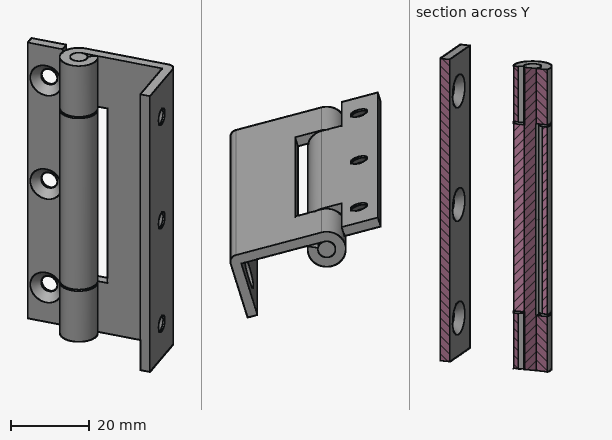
import cadquery as cq
import math

height = 80.0
thickness = 2.6
pin_radius = 2.2
barrel_radius = pin_radius + thickness
seam_angle = 26.0

left_edge = -15.0
right_edge = left_edge + 39.6
front_edge = barrel_radius - 17.5
bend_radius = 2.0

knuckle_length = 49.6
knuckle_gap = 0.5
side_gap = 0.5
slot_clearance = 2.1
window_height = knuckle_length + 2 * knuckle_gap

hole_diameter = 4.4
countersink_diameter = 8.6
countersink_angle = 90.0
hole_pitch = 30.0
flat_hole_inset = 5.0
flange_hole_inset = 8.0
hole_heights = [-hole_pitch, 0, hole_pitch]


def box_between(x_min, x_max, y_min, y_max, z_min, z_max):
    return cq.Workplane("XY").box(
        x_max - x_min, y_max - y_min, z_max - z_min, centered=False
    ).translate((x_min, y_min, z_min))


def rolled_plate(plate_end, length):
    """Plate running in +X to plate_end, with its other end rolled around the pin."""
    def on_circle(radius, degrees):
        angle = math.radians(degrees)
        return radius * math.cos(angle), radius * math.sin(angle)

    return (
        cq.Workplane("XY")
        .workplane(offset=-length / 2)
        .moveTo(plate_end, barrel_radius)
        .lineTo(0, barrel_radius)
        .threePointArc(on_circle(barrel_radius, 225), on_circle(barrel_radius, seam_angle))
        .lineTo(*on_circle(pin_radius, seam_angle))
        .threePointArc(on_circle(pin_radius, 225), (0, pin_radius))
        .lineTo(plate_end, pin_radius)
        .close()
        .extrude(length)
    )


def cut_screw_holes(leaf, face_plane, across):
    """Countersunk through holes entering the face that lies on face_plane."""
    return (
        leaf.copyWorkplane(cq.Workplane(face_plane))
        .pushPoints([(across, z) for z in hole_heights])
        .cskHole(hole_diameter, countersink_diameter, countersink_angle, depth=thickness)
    )


def make_flat_leaf():
    plate_edge = -barrel_radius - side_gap
    leaf = rolled_plate(-left_edge, knuckle_length).mirror("YZ")
    plate = box_between(left_edge, plate_edge, pin_radius, barrel_radius, -height / 2, height / 2)
    leaf = leaf.union(plate)
    front_face = cq.Plane(origin=(0, pin_radius, 0), xDir=(1, 0, 0), normal=(0, -1, 0))
    return cut_screw_holes(leaf, front_face, left_edge + flat_hole_inset)


def make_angled_leaf():
    flange_face_x = right_edge - thickness
    leaf = rolled_plate(right_edge, height)
    flange = box_between(flange_face_x, right_edge, front_edge, barrel_radius, -height / 2, height / 2)
    leaf = leaf.union(flange).edges("|Z and >X and >Y").fillet(bend_radius)
    window = box_between(
        -barrel_radius, barrel_radius + slot_clearance,
        -barrel_radius, barrel_radius,
        -window_height / 2, window_height / 2,
    )
    leaf = leaf.cut(window)
    inner_face = cq.Plane(origin=(flange_face_x, 0, 0), xDir=(0, -1, 0), normal=(-1, 0, 0))
    return cut_screw_holes(leaf, inner_face, -(front_edge + flange_hole_inset))


def make_pin():
    return cq.Workplane("XY").circle(pin_radius).extrude(height / 2, both=True)


flat_leaf = make_flat_leaf()
angled_leaf = make_angled_leaf()
pin = make_pin()

result = cq.Compound.makeCompound([flat_leaf.val(), angled_leaf.val(), pin.val()])